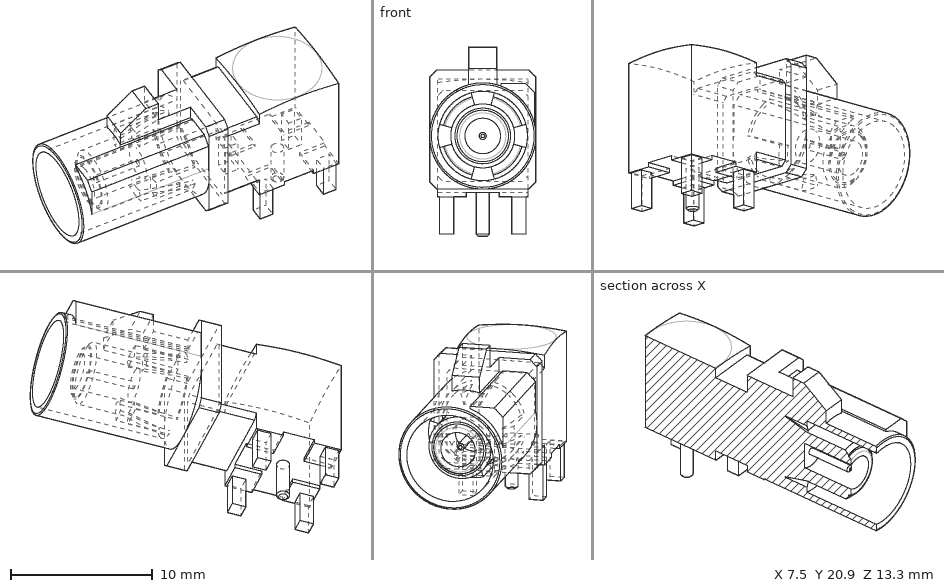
import cadquery as cq
import math


total_length = 20.88

barrel_width = 7.5
barrel_radius = barrel_width / 2
mouth_chamfer_depth = 0.06
mouth_chamfer_width = 0.13
bore_radius = 3.15
bore_depth = 9.4

flange_front = 10.15
flange_back = 11.67
flange_top = 4.65
flange_chamfer = 0.5

latch_width = 2.0
latch_front = 4.53
latch_nose_height = 4.76
latch_top = 6.26
latch_crest_front = 6.55
latch_crest_back = 7.55

rail_front = 0.75
rail_inner = 1.27
rail_outer = 3.65
rail_top = 3.7
rail_chamfer = 0.63

body_width = 6.39
body_front = total_length - body_width
body_center = total_length - body_width / 2
body_top = 4.0
body_bottom = -4.3
body_crown_radius = 3.15
body_crown_slope = 10.0
neck_chamfer = 0.38
foot_gap = 2.32
foot_height = 0.31

leg_width = 1.02
leg_spacing = 5.1
leg_bottom = -6.93
pin_radius = 0.45
pin_bottom = -7.08
pin_chamfer = 0.15

nose_front = 2.3
nose_radius = 1.82
nose_round = 0.19
shoulder_front = 2.53
shoulder_chamfer = 0.3
step_front = 6.26
step_radius = 2.25
shoulder_radius = step_radius - shoulder_chamfer
root_front = 8.35
root_radius = 2.75
root_flare_radius = 2.86
socket_radius = 1.25
socket_depth = 4.18
contact_radius = 0.25
contact_front = 2.92
contact_chamfer = 0.13

rib_count = 4
rib_angle = 30.0


def block(x_range, y_range, z_range):
    """Axis-aligned box given by its limits along X, Y and Z."""
    return cq.Workplane("XY").box(
        x_range[1] - x_range[0], y_range[1] - y_range[0], z_range[1] - z_range[0], centered=False
    ).translate((x_range[0], y_range[0], z_range[0]))


def rod(radius, front, back):
    """Round bar along the mating axis."""
    return cq.Workplane("XZ", origin=(0, front, 0)).circle(radius).extrude(front - back)


def spin_about_mating_axis(profile):
    """Revolve a profile drawn as (radius, y) in the XY plane."""
    return profile.close().revolve(360, (0, 0, 0), (0, 1, 0))


def make_barrel():
    profile = (
        cq.Workplane("XY")
        .lineTo(barrel_radius - mouth_chamfer_width, 0)
        .lineTo(barrel_radius, mouth_chamfer_depth)
        .lineTo(barrel_radius, flange_front)
        .lineTo(0, flange_front)
    )
    return spin_about_mating_axis(profile)


def make_flange():
    plate = block(
        (-barrel_radius, barrel_radius), (flange_front, flange_back), (-barrel_radius, flange_top)
    )
    return plate.edges("|Y").chamfer(flange_chamfer)


def make_latch():
    outline = [
        (flange_front, 0),
        (flange_front, flange_top),
        (latch_crest_back, flange_top),
        (latch_crest_back, latch_top),
        (latch_crest_front, latch_top),
        (latch_front, latch_nose_height),
        (latch_front, 0),
    ]
    return cq.Workplane("YZ").polyline(outline).close().extrude(latch_width / 2, both=True)


def make_rail():
    rail = block((rail_inner, rail_outer), (rail_front, flange_front), (0, rail_top))
    return rail.edges("|Y and >X and >Z").chamfer(rail_chamfer)


def make_neck():
    half = body_width / 2
    neck = block((-half, half), (flange_back, body_front), (-half, half))
    return neck.edges("|Y").chamfer(neck_chamfer)


def make_body():
    """Square body with a shallow conical crown and four feet left by two crossing slots."""
    half = body_width / 2
    corner_radius = half * math.sqrt(2)
    crown_drop = (corner_radius - body_crown_radius) * math.tan(math.radians(body_crown_slope))
    crown = (
        cq.Workplane("XZ")
        .moveTo(0, body_bottom)
        .lineTo(corner_radius, body_bottom)
        .lineTo(corner_radius, body_top - crown_drop)
        .lineTo(body_crown_radius, body_top)
        .lineTo(0, body_top)
        .close()
        .revolve(360, (0, 0, 0), (0, 1, 0))
        .translate((0, body_center, 0))
    )
    body = block((-half, half), (body_front, total_length), (body_bottom, body_top)).intersect(crown)
    for slot_size in ((foot_gap, body_width), (body_width, foot_gap)):
        slot = (
            cq.Workplane("XY", origin=(0, body_center, body_bottom))
            .rect(*slot_size)
            .extrude(foot_height)
        )
        body = body.cut(slot)
    return body


def make_legs():
    return (
        cq.Workplane("XY", origin=(0, body_center, body_bottom))
        .rect(leg_spacing, leg_spacing, forConstruction=True)
        .vertices()
        .rect(leg_width, leg_width)
        .extrude(leg_bottom - body_bottom)
    )


def make_pin():
    slot_roof = body_bottom + foot_height
    pin = (
        cq.Workplane("XY", origin=(0, body_center, slot_roof))
        .circle(pin_radius)
        .extrude(pin_bottom - slot_roof)
    )
    return pin.faces("<Z").chamfer(pin_chamfer)


def make_center_contact():
    """Stepped, tapered plug with a rounded nose, a socket and a thin contact pin inside."""
    diagonal = nose_round * math.sqrt(0.5)
    profile = (
        cq.Workplane("XY")
        .moveTo(0, nose_front)
        .lineTo(nose_radius - nose_round, nose_front)
        .threePointArc(
            (nose_radius - nose_round + diagonal, nose_front + nose_round - diagonal),
            (nose_radius, nose_front + nose_round),
        )
        .lineTo(nose_radius, shoulder_front)
        .lineTo(shoulder_radius, shoulder_front)
        .lineTo(step_radius, shoulder_front + shoulder_chamfer)
        .lineTo(step_radius, step_front)
        .lineTo(root_radius, root_front)
        .lineTo(root_flare_radius, bore_depth)
        .lineTo(0, bore_depth)
    )
    plug = spin_about_mating_axis(profile)
    socket_floor = nose_front + socket_depth
    contact = rod(contact_radius, contact_front, socket_floor).faces("<Y").chamfer(contact_chamfer)
    return plug.cut(rod(socket_radius, nose_front, socket_floor)).union(contact)


def make_ribs():
    """Wedge-shaped ribs spaced evenly around the bore, starting at the step of the plug."""
    half_angle = math.radians(rib_angle / 2)
    reach = (bore_radius + barrel_radius) / 2
    wedge = (
        cq.Workplane("XZ", origin=(0, step_front, 0))
        .lineTo(reach * math.cos(half_angle), -reach * math.sin(half_angle))
        .threePointArc((reach, 0), (reach * math.cos(half_angle), reach * math.sin(half_angle)))
        .close()
        .extrude(step_front - bore_depth)
    )
    rib = wedge.cut(rod(step_radius, step_front, bore_depth))
    ribs = rib
    for index in range(1, rib_count):
        ribs = ribs.union(rib.rotate((0, 0, 0), (0, 1, 0), index * 360 / rib_count))
    return ribs


housing = make_barrel().union(make_flange()).union(make_latch()).union(make_rail())
housing = housing.cut(rod(bore_radius, 0, bore_depth))

rear = make_neck().union(make_body()).union(make_legs()).union(make_pin())

result = housing.union(rear).union(make_center_contact()).union(make_ribs())